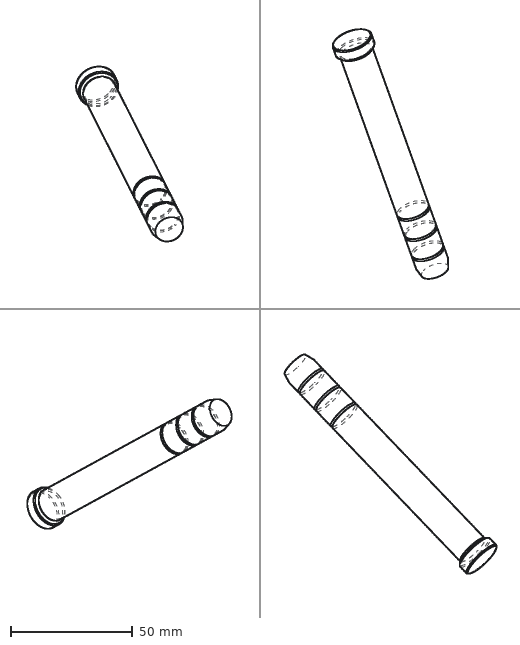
import cadquery as cq
import math

total_length = 115.0
head_diameter = 17.0
head_length = 5.0
head_chamfer = 0.5
shank_diameter = 14.0

groove_radius = 0.5
ring_count = 3
ring_pitch = 10.0
last_ring_to_tip = 10.0

nose_length = 4.0
nose_half_angle = 15.0

head_radius = head_diameter / 2
shank_radius = shank_diameter / 2
tip_radius = shank_radius - nose_length * math.tan(math.radians(nose_half_angle))


def make_head():
    """Disc head with both rims chamfered."""
    head = cq.Workplane("YZ").circle(head_radius).extrude(head_length)
    return head.edges().chamfer(head_chamfer)


def make_shank():
    """Cylinder along the full length, ending in a cone at the nose."""
    return (
        cq.Workplane("XZ")
        .lineTo(0, shank_radius)
        .lineTo(total_length - nose_length, shank_radius)
        .lineTo(total_length, tip_radius)
        .lineTo(total_length, 0)
        .close()
        .revolve(360, (0, 0), (1, 0))
    )


def make_groove(center_x):
    """Ring of circular section, centred on the shank surface, to be cut from the shank."""
    section = cq.Workplane("XZ").center(center_x, shank_radius).circle(groove_radius)
    return section.revolve(360, (-center_x, -shank_radius), (0, -shank_radius))


undercut_x = head_length + groove_radius
shank = make_shank().cut(make_groove(undercut_x))
for ring in range(ring_count):
    ring_x = total_length - last_ring_to_tip - ring * ring_pitch
    shank = shank.cut(make_groove(ring_x))

result = make_head().union(shank)